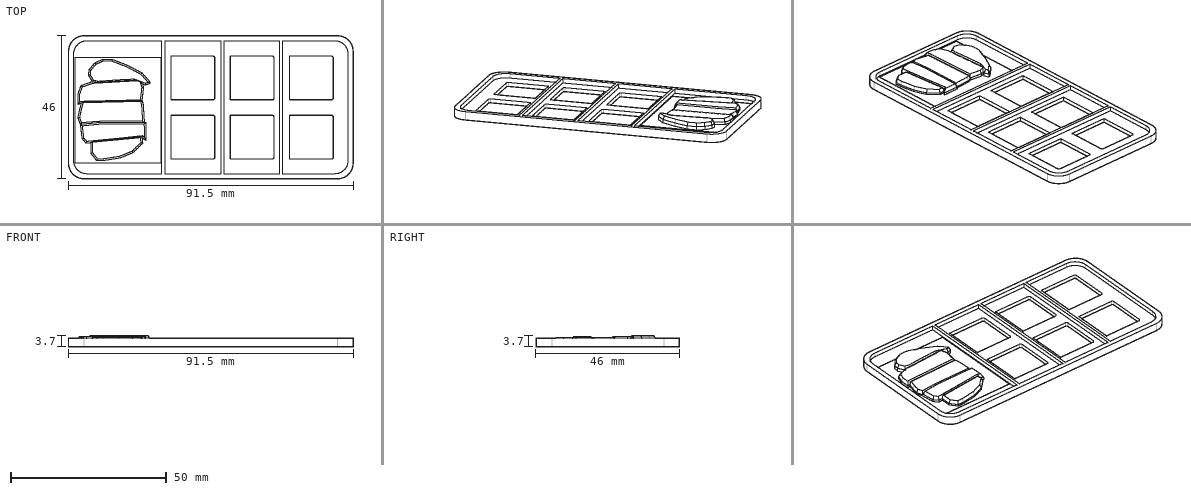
import cadquery as cq

LENGTH = 91.5
WIDTH = 46.0
TRAY_HEIGHT = 2.8
FLOOR_THICKNESS = 1.4
WALL = 1.65
CORNER_RADIUS = 5.0
INNER_CORNER_RADIUS = 4.3

RIB_WIDTH = 1.0
RIB_CENTRES = (-15.3, 3.75, 22.5)

WINDOW_SIZE = 14.0
WINDOW_PITCH = 19.0
WINDOW_COLUMNS = 3
WINDOW_ROWS = 2
WINDOW_CENTRE = (13.3, -0.1)
WINDOW_CORNER_RADIUS = 0.55

PLAQUE_LENGTH = 27.5
PLAQUE_WIDTH = 33.95
PLAQUE_THICKNESS = 0.1
PLAQUE_CENTRE = (-29.8, -0.9)

RELIEF_HEIGHT = 3.7
STONE_BEVEL_DROP = 1.1
STONE_BEVEL_INSET = 0.55
STONES = (
    (RELIEF_HEIGHT, [
        (-39.3, 10.3), (-39.1, 12.2), (-37.2, 14.3), (-34.8, 15.4), (-31.7, 15.4), (-26.9, 13.5),
        (-22.1, 11.1), (-19.7, 8.3), (-19.5, 7.7), (-21.0, 7.1), (-24.7, 8.5),
        (-30.3, 8.2), (-36.4, 7.8), (-38.1, 8.2),
    ]),
    (3.4, [
        (-41.7, 6.95), (-38.1, 8.2), (-22.4, 9.15), (-21.6, 6.4), (-22.1, 1.8), (-41.45, 1.4),
        (-42.7, 0.9), (-42.7, 4.2),
    ]),
    (3.0, [
        (-41.45, 2.0), (-22.1, 2.5), (-21.7, 0.8), (-21.3, -5.0), (-35.6, -5.0), (-41.9, -5.5),
        (-42.7, -3.4), (-42.2, -0.8),
    ]),
    (3.3, [
        (-41.9, -5.5), (-35.6, -4.85), (-20.9, -4.85), (-20.8, -10.7), (-22.1, -9.7), (-29.7, -10.5),
        (-40.1, -11.5), (-41.4, -10.1),
    ]),
    (3.1, [
        (-38.5, -10.7), (-22.1, -9.15), (-21.9, -11.5), (-25.0, -14.55), (-29.2, -16.3), (-34.5, -17.1),
        (-36.7, -17.1), (-38.5, -14.8),
    ]),
)


def make_tray():
    rim = cq.Workplane("XY").box(LENGTH, WIDTH, TRAY_HEIGHT, centered=(True, True, False))
    recess = (
        cq.Workplane("XY", origin=(0, 0, FLOOR_THICKNESS))
        .rect(LENGTH - 2 * WALL, WIDTH - 2 * WALL)
        .extrude(TRAY_HEIGHT - FLOOR_THICKNESS)
        .edges("|Z")
        .fillet(INNER_CORNER_RADIUS)
    )
    return rim.edges("|Z").fillet(CORNER_RADIUS).cut(recess)


def make_ribs():
    return (
        cq.Workplane("XY")
        .pushPoints([(x, 0) for x in RIB_CENTRES])
        .rect(RIB_WIDTH, WIDTH - WALL)
        .extrude(TRAY_HEIGHT)
    )


def make_window():
    return (
        cq.Workplane("XY")
        .rect(WINDOW_SIZE, WINDOW_SIZE)
        .extrude(FLOOR_THICKNESS)
        .faces(">X")
        .edges("|Z")
        .fillet(WINDOW_CORNER_RADIUS)
    )


def make_windows():
    return (
        cq.Workplane("XY")
        .center(*WINDOW_CENTRE)
        .rarray(WINDOW_PITCH, WINDOW_PITCH, WINDOW_COLUMNS, WINDOW_ROWS)
        .eachpoint(make_window().val())
    )


def make_plaque():
    return (
        cq.Workplane("XY")
        .center(*PLAQUE_CENTRE)
        .rect(PLAQUE_LENGTH, PLAQUE_WIDTH)
        .extrude(FLOOR_THICKNESS + PLAQUE_THICKNESS)
    )


def make_stone(top, outline):
    return (
        cq.Workplane("XY", origin=(0, 0, FLOOR_THICKNESS))
        .polyline(outline)
        .close()
        .extrude(top - FLOOR_THICKNESS)
        .faces(">Z")
        .chamfer(STONE_BEVEL_DROP, STONE_BEVEL_INSET)
    )


result = make_tray().union(make_ribs()).cut(make_windows()).union(make_plaque())
for stone_top, stone_outline in STONES:
    result = result.union(make_stone(stone_top, stone_outline))